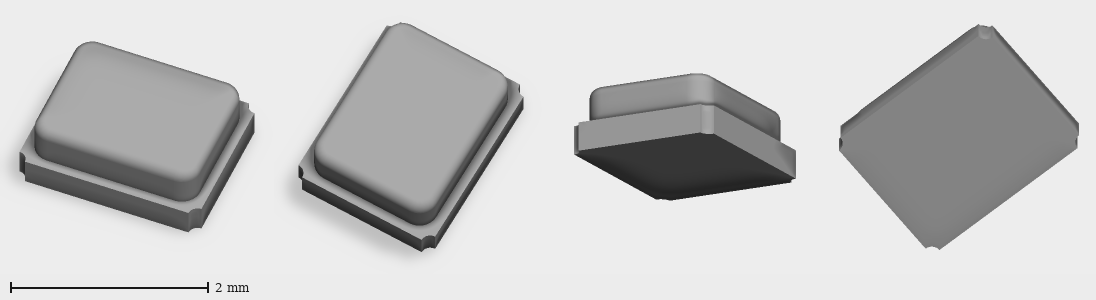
import cadquery as cq

length = 2.0
width = 1.6
total_height = 0.7
base_height = 0.3
notch_radius = 0.1

lid_margin = 0.1
lid_corner_radius = 0.2
lid_edge_radius = 0.1
lid_length = length - 2 * lid_margin
lid_width = width - 2 * lid_margin
lid_height = total_height - base_height


def make_base():
    """Rectangular slab with a quarter-round notch down each corner."""
    slab = cq.Workplane("XY").rect(length, width).extrude(base_height)
    notches = (
        cq.Workplane("XY")
        .rect(length, width, forConstruction=True)
        .vertices()
        .circle(notch_radius)
        .extrude(base_height)
    )
    return slab.cut(notches)


def make_lid():
    """Rounded block with a rolled top edge, sitting on the base."""
    return (
        cq.Workplane("XY")
        .workplane(offset=base_height)
        .rect(lid_length, lid_width)
        .extrude(lid_height)
        .edges("|Z")
        .fillet(lid_corner_radius)
        .faces(">Z")
        .edges()
        .fillet(lid_edge_radius)
    )


result = make_base().union(make_lid())